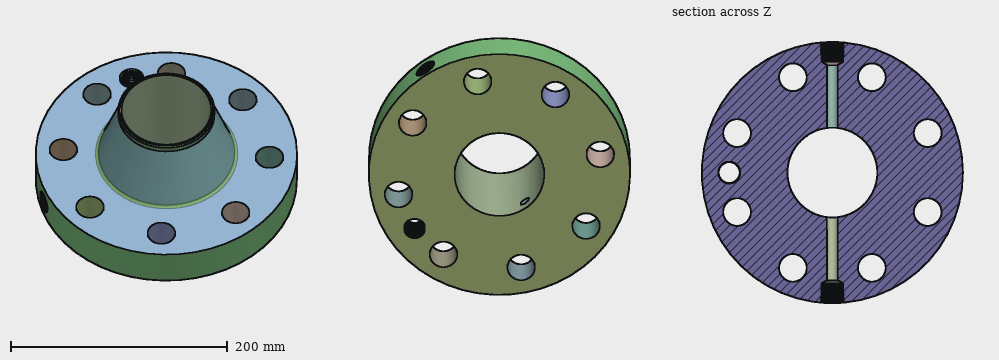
import cadquery as cq
import math

INCH = 25.4

flange_diameter = 9.5 * INCH
flange_thickness = 1.5 * INCH
bolt_circle_diameter = 7.5 * INCH
bolt_hole_diameter = 1.0 * INCH
bolt_count = 8

overall_height = 4.0 * INCH
hub_base_diameter = 5.0 * INCH
hub_fillet_radius = 3.0
pipe_diameter = 3.5 * INCH
pipe_wall = 3.05
bore_diameter = pipe_diameter - 2 * pipe_wall
neck_length = 0.25 * INCH
weld_land = 1.6
weld_bevel_angle = 37.5
weld_bevel_width = pipe_wall - weld_land
weld_bevel_height = weld_bevel_width * math.tan(math.radians(weld_bevel_angle))

jack_major_diameter = 7 / 8 * INCH
jack_pitch = INCH / 9
jack_thread_height = 0.541 * jack_pitch
jack_half_pitches = round(2 * flange_thickness / jack_pitch)

tap_axis_height = 17.2
tap_major_diameter = 0.84 * INCH
tap_pitch = INCH / 14
tap_thread_height = 0.8 * tap_pitch
tap_half_pitches = 21
tap_thread_length = tap_half_pitches * tap_pitch / 2
tap_radius_taper = 1 / 32
tap_drill_point_angle = 118.0
tap_hole_diameter = 3 / 8 * INCH


def flange_body():
    """Flange ring and welding neck, turned about Z, with the hub fillet."""
    pipe_radius = pipe_diameter / 2
    body = (
        cq.Workplane("XZ")
        .moveTo(0, 0)
        .lineTo(flange_diameter / 2, 0)
        .lineTo(flange_diameter / 2, flange_thickness)
        .lineTo(hub_base_diameter / 2, flange_thickness)
        .lineTo(pipe_radius, overall_height - neck_length)
        .lineTo(pipe_radius, overall_height - weld_bevel_height)
        .lineTo(pipe_radius - weld_bevel_width, overall_height)
        .lineTo(0, overall_height)
        .close()
        .revolve(360, (0, 0, 0), (0, 1, 0))
    )
    hub_corner = cq.selectors.RadiusNthSelector(-2)
    body = body.edges(hub_corner).fillet(hub_fillet_radius)
    bore = cq.Workplane("XY").circle(bore_diameter / 2).extrude(overall_height)
    return body.cut(bore)


def bolt_holes():
    """Plain bolt holes, straddling the X and Y axes."""
    return (
        cq.Workplane("XY")
        .polarArray(bolt_circle_diameter / 2, 180 / bolt_count, 360, bolt_count)
        .circle(bolt_hole_diameter / 2)
        .extrude(flange_thickness)
    )


def thread_profile(major_diameter, height, pitch, half_pitches, radius_taper=0.0):
    """Zigzag of (radius, depth) points: thread roots and crests in turn, from a root at the mouth.

    The thread is a row of ring grooves rather than a true helix.
    """
    points = []
    for step in range(half_pitches + 1):
        depth = step * pitch / 2
        root_radius = major_diameter / 2 - depth * radius_taper
        is_crest = step % 2 == 1
        points.append((root_radius - height if is_crest else root_radius, depth))
    return points


def turned_tool(profile):
    """Solid turned about Z from (radius, depth) points, with depth measured down from z = 0."""
    first_depth = profile[0][1]
    last_depth = profile[-1][1]
    outline = [(0, -first_depth)]
    outline += [(radius, -depth) for radius, depth in profile]
    outline.append((0, -last_depth))
    return cq.Workplane("XZ").polyline(outline).close().revolve(360, (0, 0, 0), (0, 1, 0))


def jack_screw_hole():
    """Straight threaded hole right through the flange."""
    profile = thread_profile(jack_major_diameter, jack_thread_height, jack_pitch, jack_half_pitches)
    return turned_tool(profile).translate((-bolt_circle_diameter / 2, 0, flange_thickness))


def pressure_tap(turn):
    """Taper-threaded hole from the -Y rim, then a drilled hole into the bore, turned about Z."""
    rim_radius = flange_diameter / 2
    hole_radius = tap_hole_diameter / 2
    profile = thread_profile(
        tap_major_diameter, tap_thread_height, tap_pitch, tap_half_pitches, tap_radius_taper
    )
    thread_end_radius = profile[-1][0]
    drill_point_slope = math.tan(math.radians(tap_drill_point_angle / 2))
    drill_point_length = (thread_end_radius - hole_radius) / drill_point_slope
    profile.append((hole_radius, tap_thread_length + drill_point_length))
    profile.append((hole_radius, rim_radius))
    tool = turned_tool(profile).rotate((0, 0, 0), (1, 0, 0), 90)
    return tool.translate((0, -rim_radius, tap_axis_height)).rotate((0, 0, 0), (0, 0, 1), turn)


result = flange_body().cut(bolt_holes()).cut(jack_screw_hole())
for tap_turn in (0, 180):
    result = result.cut(pressure_tap(tap_turn))
result = result.solids()